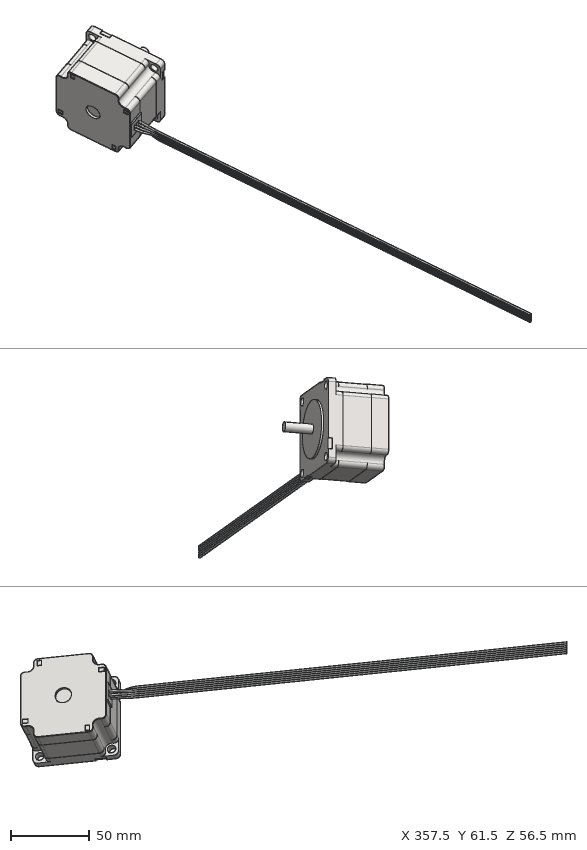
import cadquery as cq
import math


flange_side = 56.5
flange_thickness = 5.5
flange_corner_radius = 3.2
mount_hole_pitch = 47.0
mount_hole_diameter = 5.5

motor_depth = 41.0
stator_front_y = 31.0
rear_cap_length = 11.8
stator_inset = 0.18
rear_edge_chamfer = 0.5
corner_relief_radius = 4.1
corner_blend_radius = 3.05

pilot_diameter = 38.2
pilot_height = 1.5
shaft_diameter = 6.5
shaft_length = 20.5

rear_recess_diameter = 10.7
rear_recess_depth = 1.8
slot_offset = 15.7
slot_depth = 0.7
rear_slot_length = 3.5
rear_slot_width = 3.0
rear_slot_margin = 1.5
flange_slot_length = 7.0
flange_slot_width = 3.0

total_length = 357.5
outlet_height = 12.5
outlet_projection = 1.0
leads_per_row = 3
lead_diameter = 1.45
lead_pitch = 1.4
ribbon_y = 6.0
ribbon_start_x = 48.2
exit_pitch_y = 2.32
exit_pitch_z = 3.0

hole_offset = mount_hole_pitch / 2
flange_half = flange_side / 2
stator_side = flange_side - 2 * stator_inset
flange_back_y = motor_depth - flange_thickness
outlet_x = flange_half + outlet_projection
ribbon_end_x = total_length - flange_half
quarter_turns = [0, -90, -180, -270]


def plane_facing_front(y):
    """XZ sketch plane at the given Y, extruding toward +Y, with local x = -X and local y = Z."""
    return cq.Workplane(cq.Plane(origin=(0, y, 0), xDir=(-1, 0, 0), normal=(0, 1, 0)))


def four_around_axis(shape):
    """Four copies of a shape, a quarter turn apart about the shaft axis."""
    copies = cq.Workplane()
    for angle in quarter_turns:
        copies = copies.add(shape.rotate((0, 0, 0), (0, 1, 0), angle))
    return copies.combine()


def rotated(point, angle):
    """A 2D point turned about the shaft axis by an angle in degrees."""
    cosine = math.cos(math.radians(angle))
    sine = math.sin(math.radians(angle))
    return (point[0] * cosine - point[1] * sine, point[0] * sine + point[1] * cosine)


def make_body_section(side, back_y, front_y):
    """Square block whose corners have a round relief about each mounting hole, blended into the sides."""
    half = side / 2
    blend_height = half - corner_blend_radius
    centre_distance = corner_relief_radius + corner_blend_radius
    blend_across = hole_offset - math.sqrt(centre_distance**2 - (blend_height - hole_offset) ** 2)
    blend_angle = math.atan2(hole_offset - blend_height, hole_offset - blend_across)
    mid_angle = (blend_angle + math.pi / 2) / 2

    def on_blend(angle):
        return (
            blend_across + corner_blend_radius * math.cos(angle),
            blend_height + corner_blend_radius * math.sin(angle),
        )

    side_end = (blend_across, half)
    blend_mid = on_blend(mid_angle)
    blend_end = on_blend(blend_angle)
    relief_mid_offset = hole_offset - corner_relief_radius / math.sqrt(2)
    relief_mid = (relief_mid_offset, relief_mid_offset)

    outline = plane_facing_front(back_y).moveTo(*side_end)
    for angle in quarter_turns:
        outline = outline.threePointArc(rotated(blend_mid, angle), rotated(blend_end, angle))
        outline = outline.threePointArc(rotated(relief_mid, angle), rotated(blend_end[::-1], angle))
        outline = outline.threePointArc(rotated(blend_mid[::-1], angle), rotated(side_end[::-1], angle))
        outline = outline.lineTo(*rotated(side_end, angle - 90))
    return outline.close().extrude(front_y - back_y)


def make_body():
    """Chamfered rear cap, stator and front bracket, the stator a hair narrower than the other two."""
    rear_cap = make_body_section(flange_side, 0, rear_cap_length)
    rear_cap = rear_cap.faces("<Y").edges().chamfer(rear_edge_chamfer)
    stator = make_body_section(stator_side, rear_cap_length, stator_front_y)
    front_bracket = make_body_section(flange_side, stator_front_y, flange_back_y)
    return rear_cap.union(stator).union(front_bracket)


def make_flange():
    """Square mounting flange with rounded corners and four through holes."""
    return (
        plane_facing_front(flange_back_y)
        .rect(flange_side, flange_side)
        .extrude(flange_thickness)
        .edges("|Y")
        .fillet(flange_corner_radius)
        .faces(">Y")
        .workplane(origin=(0, motor_depth, 0))
        .rect(mount_hole_pitch, mount_hole_pitch, forConstruction=True)
        .vertices()
        .hole(mount_hole_diameter)
    )


def make_pilot_and_shaft():
    pilot = plane_facing_front(motor_depth).circle(pilot_diameter / 2).extrude(pilot_height)
    shaft = plane_facing_front(motor_depth).circle(shaft_diameter / 2).extrude(shaft_length)
    return pilot.union(shaft)


def make_recesses():
    """Round recess in the back face, four small ones around it and four in the flange sides."""
    centre = plane_facing_front(0).circle(rear_recess_diameter / 2).extrude(rear_recess_depth)
    rear_slot = cq.Workplane().box(rear_slot_width, slot_depth, rear_slot_length).translate(
        (-slot_offset, slot_depth / 2, flange_half - rear_slot_margin - rear_slot_length / 2)
    )
    flange_slot = cq.Workplane().box(flange_slot_length, flange_slot_width, slot_depth).translate(
        (-slot_offset, motor_depth - flange_slot_width / 2, flange_half - slot_depth / 2)
    )
    return centre.union(four_around_axis(rear_slot)).union(four_around_axis(flange_slot))


def make_outlet():
    """Block on the +X side of the rear cap, where the leads come out."""
    return cq.Workplane().box(outlet_projection, rear_cap_length, outlet_height).translate(
        (flange_half + outlet_projection / 2, rear_cap_length / 2, 0)
    )


def make_lead(side, place):
    """One round lead: it leaves the outlet in a two-row bundle and then runs flat in the ribbon.

    Side is +1 or -1 for the upper or lower row; place counts outward from the middle of the ribbon.
    """
    middle_place = (leads_per_row - 1) / 2
    start = (
        outlet_x,
        ribbon_y + (place - middle_place) * exit_pitch_y,
        side * exit_pitch_z / 2,
    )
    bend = (ribbon_start_x, ribbon_y, side * (place + 0.5) * lead_pitch)
    path = cq.Workplane().spline([start, bend], tangents=[(1, 0, 0), (1, 0, 0)])
    fan = cq.Workplane("YZ", origin=start).circle(lead_diameter / 2).sweep(path)
    straight = (
        cq.Workplane("YZ", origin=bend)
        .circle(lead_diameter / 2)
        .extrude(ribbon_end_x - ribbon_start_x)
    )
    return fan.union(straight)


result = make_body().union(make_flange()).union(make_pilot_and_shaft())
result = result.cut(make_recesses()).union(make_outlet())
for row_side in (-1, 1):
    for row_place in range(leads_per_row):
        result = result.union(make_lead(row_side, row_place))